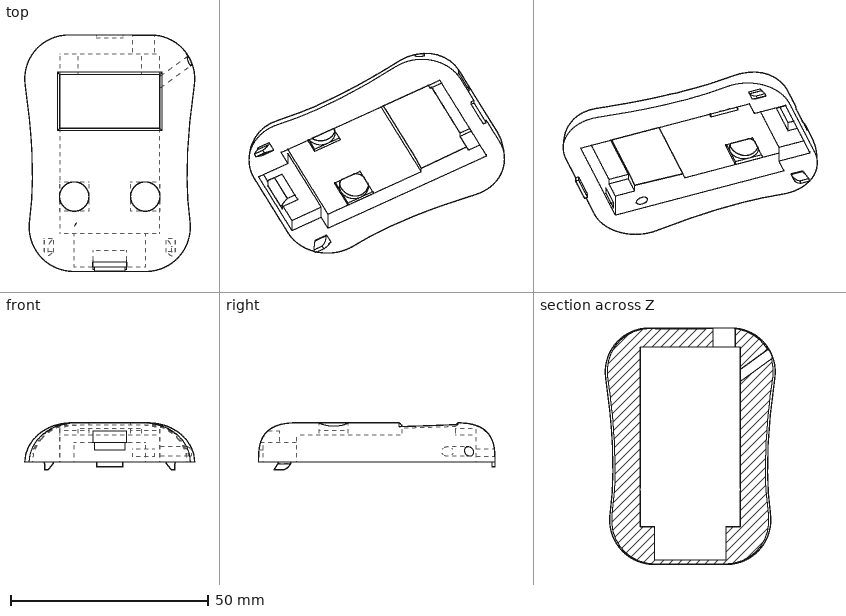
import cadquery as cq
import math

body_height = 10.0
body_length = 60.0
half_length = body_length / 2
body_width = 43.1
shoulder_half_width = body_width / 2
waist_half_width = 19.6
hip_half_width = 20.45
waist_y = -4.8
shoulder_radius = 11.15
hip_radius = 11.35
top_corner_radius = 1.2
corner_overrun = 8.0
side_reach = 12.0
end_reach = 11.05
side_power = 2.0
end_power = 2.9
loft_steps = 10
cut_margin = 0.6

cavity_half_width = 12.65
cavity_back_y = 25.15
cavity_front_y = -20.4
cavity_ceiling = 6.9
window_front_y = 6.35
window_back_y = 19.9
window_chamfer = 0.65
display_relief_half_width = 8.05
display_relief_ceiling = 8.5
button_diameter = 7.4
button_x = 9.0
button_y = -11.0
button_pocket_ceiling = 8.0

connector_bay_half_width = 9.0
connector_bay_front_y = -28.8
connector_sill = 3.1
connector_step = 5.0
connector_top = 7.9
connector_lower_half_width = 3.9
connector_upper_half_width = 4.25
connector_upper_back_y = -24.6

switch_x = (5.8, 11.4)
switch_z = (1.4, 3.3)
lanyard_diameter = 2.4
lanyard_start = (cavity_half_width, 17.95, 2.7)
lanyard_angle = 36.0
lanyard_length = 15.0

tab_half_width = 3.3
tab_thickness = 0.85
tab_drop = 1.2
hook_drop = 2.0
hook_outer_x = 16.5
hook_inner_x = 14.3
hook_tip_x = 15.6
hook_shoulder_drop = 0.3
hook_flare = 0.2
hook_flare_drop = 0.55
hook_root_y = (-21.65, -24.85)
hook_tip_y = (-23.65, -26.05)
hook_belly = (-22.5, -1.3)


def box(x_range, y_range, z_range):
    """Axis-aligned box between the given limits."""
    size = [high - low for low, high in (x_range, y_range, z_range)]
    corner = (x_range[0], y_range[0], z_range[0])
    return cq.Workplane("XY").box(*size, centered=False).translate(corner)


def centred_box(half_width, y_range, z_range):
    return box((-half_width, half_width), y_range, z_range)


def inset(height_share, reach, power):
    """Inward lean of a superelliptic wall at a share of the body height."""
    return reach * (1 - (1 - height_share**power) ** (1 / power))


def section(angle):
    """Closed outline of the shell at height body_height * sin(angle)."""
    share = min(math.sin(angle), 1.0)
    z = body_height * share
    side = inset(share, side_reach, side_power)
    end_y = half_length - inset(share, end_reach, end_power)
    remaining = 1 - side / side_reach
    overrun = math.radians(corner_overrun)

    def corner(half_width, base_radius):
        """Start, middle and end of a corner arc, taken in the +X +Y quadrant."""
        radius = top_corner_radius + (base_radius - top_corner_radius) * remaining
        centre_x = half_width - side - radius
        centre_y = end_y - radius

        def at(a):
            return (centre_x + radius * math.cos(a), centre_y + radius * math.sin(a))

        return at(math.pi / 2), at((math.pi / 2 - overrun) / 2), at(-overrun)

    def place(point, sign_x, sign_y):
        return cq.Vector(sign_x * point[0], sign_y * point[1], z)

    shoulder = corner(shoulder_half_width, shoulder_radius)
    hip = corner(hip_half_width, hip_radius)
    waist = (waist_half_width - side, waist_y)

    def arc(points, sign_x, sign_y):
        return cq.Edge.makeThreePointArc(*[place(p, sign_x, sign_y) for p in points])

    def flank(sign_x):
        """Waisted side running from the shoulder down to the hip."""
        points = [place(shoulder[2], sign_x, 1), place(waist, sign_x, 1), place(hip[2], sign_x, -1)]
        tangent_in = cq.Vector(-sign_x * math.sin(overrun), -math.cos(overrun), 0)
        tangent_out = cq.Vector(sign_x * math.sin(overrun), -math.cos(overrun), 0)
        return cq.Edge.makeSpline(points, tangents=[tangent_in, tangent_out])

    def end(start, sign_y):
        return cq.Edge.makeLine(place(start, -1, sign_y), place(start, 1, sign_y))

    return cq.Wire.assembleEdges([
        end(shoulder[0], 1),
        arc(shoulder, 1, 1),
        flank(1),
        arc(hip[::-1], 1, -1),
        end(hip[0], -1),
        arc(hip, -1, -1),
        flank(-1),
        arc(shoulder[::-1], -1, 1),
    ])


def shell():
    """Solid body lofted through outlines that close up faster near the top."""
    angles = [math.pi / 2 * i / loft_steps for i in range(loft_steps + 1)]
    return cq.Workplane(cq.Solid.makeLoft([section(a) for a in angles]))


def cut_window(body):
    """Rectangular display window with a chamfer following its curved rim."""
    cutter_top = body_height + cut_margin
    window = centred_box(cavity_half_width, (window_front_y, window_back_y), (0, cutter_top))
    body = body.cut(window)
    margin = window_chamfer / 2
    rim = cq.selectors.BoxSelector(
        (-cavity_half_width - margin, window_front_y - margin, cavity_ceiling),
        (cavity_half_width + margin, window_back_y + margin, cutter_top),
        boundingbox=True,
    )
    upright = cq.selectors.ParallelDirSelector(cq.Vector(0, 0, 1))
    return body.edges(rim - upright).chamfer(window_chamfer)


def cut_cavity(body):
    """Board cavity open at the base, with the display relief above its back end."""
    cavity = centred_box(cavity_half_width, (cavity_front_y, cavity_back_y), (0, cavity_ceiling))
    relief = centred_box(
        display_relief_half_width,
        (window_back_y, cavity_back_y),
        (cavity_ceiling, display_relief_ceiling),
    )
    return body.cut(cavity).cut(relief)


def cut_buttons(body):
    """Round button holes, each over a square pocket of the same width."""
    reach = button_diameter / 2
    y_range = (button_y - reach, button_y + reach)
    for x in (-button_x, button_x):
        hole = cq.Workplane().center(x, button_y).circle(reach).extrude(body_height + cut_margin)
        pocket = box((x - reach, x + reach), y_range, (cavity_ceiling, button_pocket_ceiling))
        body = body.cut(hole).cut(pocket)
    return body


def cut_connector(body):
    """Stepped opening in the -Y end, leading to a low bay of the cavity."""
    bay = centred_box(
        connector_bay_half_width,
        (connector_bay_front_y, cavity_front_y),
        (0, connector_step),
    )
    lower = centred_box(
        connector_lower_half_width,
        (-half_length, connector_bay_front_y),
        (connector_sill, connector_step),
    )
    upper = centred_box(
        connector_upper_half_width,
        (-half_length, connector_upper_back_y),
        (connector_step, connector_top),
    )
    return body.cut(bay).cut(lower).cut(upper)


def cut_side_openings(body):
    """Switch slot through the +Y end and slanted lanyard hole through the +X shoulder."""
    slot = box(switch_x, (cavity_back_y, half_length), switch_z)
    angle = math.radians(lanyard_angle)
    axis = cq.Vector(math.cos(angle), math.sin(angle), 0)
    start = cq.Vector(*lanyard_start) - axis * lanyard_diameter
    hole = cq.Solid.makeCylinder(lanyard_diameter / 2, lanyard_length, start, axis)
    return body.cut(slot).cut(cq.Workplane(hole))


def tab():
    """Closing tab under the middle of the +Y end."""
    return centred_box(tab_half_width, (half_length - tab_thickness, half_length), (-tab_drop, 0))


def hook():
    """Snap hook on the -X side: a slanted finger narrowed by a sloping inner side."""
    root_x = hook_outer_x + hook_flare
    finger = (
        cq.Workplane("YZ", origin=(-root_x, 0, 0))
        .moveTo(hook_root_y[0], 0)
        .threePointArc(hook_belly, (hook_tip_y[0], -hook_drop))
        .lineTo(hook_tip_y[1], -hook_drop)
        .lineTo(hook_root_y[1], 0)
        .close()
        .extrude(root_x - hook_inner_x)
    )
    outline = [
        (-root_x, 0),
        (-hook_inner_x, 0),
        (-hook_inner_x, -hook_shoulder_drop),
        (-hook_tip_x, -hook_drop),
        (-hook_outer_x, -hook_drop),
        (-hook_outer_x, -hook_flare_drop),
    ]
    taper = cq.Workplane("XZ").polyline(outline).close().extrude(half_length)
    return finger.intersect(taper)


result = shell()
result = cut_window(result)
result = cut_cavity(result)
result = cut_buttons(result)
result = cut_connector(result)
result = cut_side_openings(result)
result = result.union(tab()).union(hook()).union(hook().mirror("YZ"))